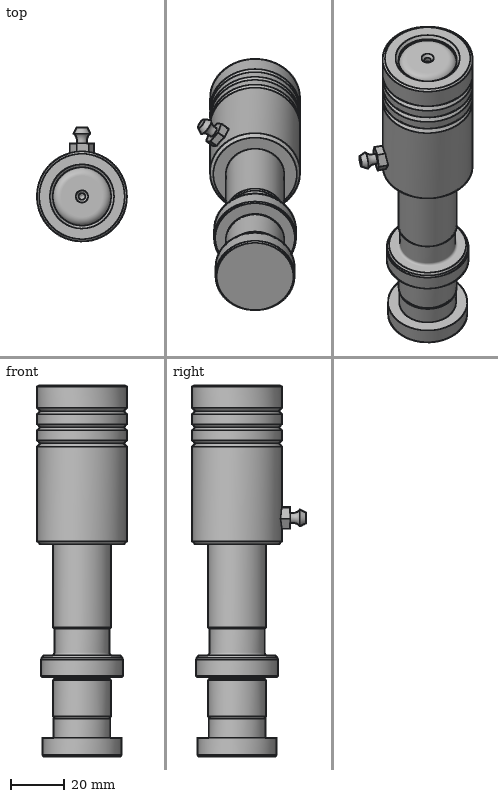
import cadquery as cq
import math

TOTAL_HEIGHT = 140.0

BUSH_RADIUS = 17.0
BUSH_LENGTH = 60.0
BUSH_BOTTOM = TOTAL_HEIGHT - BUSH_LENGTH
TOP_RIM_INSET = 0.9
TOP_RIM_HEIGHT = 0.5
BOTTOM_CHAMFER = 1.25
BORE_CHAMFER = 1.1
GROOVE_DEPTH = 1.2
GROOVE_COUNT = 3
GROOVE_PITCH = 6.1
TOP_GROOVE_Z = TOTAL_HEIGHT - 9.7

NIPPLE_PORT_RADIUS = 3.0
NIPPLE_Z = 90.0

PILLAR_RADIUS = 11.0
PILLAR_BOTTOM = 14.4
PILLAR_TOP_ROUND = 3.1
NECK_RADIUS = 10.45
NECK_CHAMFER = PILLAR_RADIUS - NECK_RADIUS
UPPER_NECK_TOP = 48.2
LOWER_NECK_BOTTOM = 29.3
PILLAR_END_CHAMFER = 0.8

COLLAR_RADIUS = 15.5
COLLAR_BOTTOM = 30.0
COLLAR_TOP = 38.2
COLLAR_FILLET = 1.0
COLLAR_FACE_RADIUS = 14.5
COLLAR_BREAK_RADIUS = 15.2
COLLAR_BREAK_STEP = 0.85
COLLAR_BOTTOM_CHAMFER = 0.5

CENTRE_MOUTH_RADIUS = 2.3
CENTRE_PILOT_RADIUS = 1.25
CENTRE_CONE_HALF_ANGLE = 45.0
CENTRE_PILOT_LENGTH = 2.0
DRILL_TIP_HALF_ANGLE = 60.0

DISC_RADIUS = 14.95
DISC_THICKNESS = 7.1
DISC_SPIGOT_RADIUS = 10.75
DISC_CHAMFER_INSET = 0.5
DISC_CHAMFER_HEIGHT = 0.7

HEX_ACROSS_FLATS = 8.0
HEX_TURN = -4.0
HEX_END = 20.0
SHANK_START = 12.0
STEM_RADIUS = 1.95
STEM_END = 21.2
HEAD_RADIUS = 3.2
HEAD_WIDEST = 23.7
TIP_RADIUS = 2.05
NIPPLE_END = 26.0


def make_nipple_port():
    """Radial cylinder from the bush axis out past the bush wall along +Y."""
    axis_point = cq.Vector(0, 0, NIPPLE_Z)
    outward = cq.Vector(0, 1, 0)
    return cq.Workplane(cq.Solid.makeCylinder(NIPPLE_PORT_RADIUS, 2 * BUSH_RADIUS, axis_point, outward))


def make_groove(z):
    """V-shaped ring cutter with 45 degree flanks around the bush."""
    return (
        cq.Workplane("XZ")
        .moveTo(BUSH_RADIUS - GROOVE_DEPTH, z)
        .lineTo(BUSH_RADIUS + GROOVE_DEPTH, z + 2 * GROOVE_DEPTH)
        .lineTo(BUSH_RADIUS + GROOVE_DEPTH, z - 2 * GROOVE_DEPTH)
        .close()
        .revolve(360, (0, 0), (0, 1))
    )


def make_bush():
    bush = (
        cq.Workplane("XZ")
        .moveTo(PILLAR_RADIUS, BUSH_BOTTOM)
        .lineTo(BUSH_RADIUS - BOTTOM_CHAMFER, BUSH_BOTTOM)
        .lineTo(BUSH_RADIUS, BUSH_BOTTOM + BOTTOM_CHAMFER)
        .lineTo(BUSH_RADIUS, TOTAL_HEIGHT - TOP_RIM_HEIGHT)
        .lineTo(BUSH_RADIUS - TOP_RIM_INSET, TOTAL_HEIGHT)
        .lineTo(PILLAR_RADIUS + BORE_CHAMFER, TOTAL_HEIGHT)
        .lineTo(PILLAR_RADIUS, TOTAL_HEIGHT - BORE_CHAMFER)
        .close()
        .revolve(360, (0, 0), (0, 1))
    )
    for index in range(GROOVE_COUNT):
        bush = bush.cut(make_groove(TOP_GROOVE_Z - index * GROOVE_PITCH))
    return bush.cut(make_nipple_port())


def make_centre_hole():
    """Conical mouth, straight pilot and drill tip on the pillar axis."""
    cone_depth = (CENTRE_MOUTH_RADIUS - CENTRE_PILOT_RADIUS) / math.tan(math.radians(CENTRE_CONE_HALF_ANGLE))
    tip_depth = CENTRE_PILOT_RADIUS / math.tan(math.radians(DRILL_TIP_HALF_ANGLE))
    pilot_top = TOTAL_HEIGHT - cone_depth
    pilot_bottom = pilot_top - CENTRE_PILOT_LENGTH
    return (
        cq.Workplane("XZ")
        .moveTo(0, TOTAL_HEIGHT)
        .lineTo(CENTRE_MOUTH_RADIUS, TOTAL_HEIGHT)
        .lineTo(CENTRE_PILOT_RADIUS, pilot_top)
        .lineTo(CENTRE_PILOT_RADIUS, pilot_bottom)
        .lineTo(0, pilot_bottom - tip_depth)
        .close()
        .revolve(360, (0, 0), (0, 1))
    )


def make_pillar():
    pillar = (
        cq.Workplane("XZ")
        .moveTo(0, PILLAR_BOTTOM)
        .lineTo(PILLAR_RADIUS - PILLAR_END_CHAMFER, PILLAR_BOTTOM)
        .lineTo(PILLAR_RADIUS, PILLAR_BOTTOM + PILLAR_END_CHAMFER)
        .lineTo(PILLAR_RADIUS, LOWER_NECK_BOTTOM - NECK_CHAMFER)
        .lineTo(NECK_RADIUS, LOWER_NECK_BOTTOM)
        .lineTo(NECK_RADIUS, COLLAR_BOTTOM)
        .lineTo(COLLAR_RADIUS - COLLAR_BOTTOM_CHAMFER, COLLAR_BOTTOM)
        .lineTo(COLLAR_RADIUS, COLLAR_BOTTOM + COLLAR_BOTTOM_CHAMFER)
        .lineTo(COLLAR_RADIUS, COLLAR_TOP - 2 * COLLAR_BREAK_STEP)
        .lineTo(COLLAR_BREAK_RADIUS, COLLAR_TOP - COLLAR_BREAK_STEP)
        .lineTo(COLLAR_FACE_RADIUS, COLLAR_TOP)
        .lineTo(NECK_RADIUS + COLLAR_FILLET, COLLAR_TOP)
        .tangentArcPoint((-COLLAR_FILLET, COLLAR_FILLET))
        .lineTo(NECK_RADIUS, UPPER_NECK_TOP)
        .lineTo(PILLAR_RADIUS, UPPER_NECK_TOP + NECK_CHAMFER)
        .lineTo(PILLAR_RADIUS, TOTAL_HEIGHT - PILLAR_TOP_ROUND)
        .tangentArcPoint((-PILLAR_TOP_ROUND, PILLAR_TOP_ROUND))
        .lineTo(0, TOTAL_HEIGHT)
        .close()
        .revolve(360, (0, 0), (0, 1))
    )
    return pillar.cut(make_centre_hole())


def make_disc():
    return (
        cq.Workplane("XZ")
        .lineTo(DISC_RADIUS - DISC_CHAMFER_INSET, 0)
        .lineTo(DISC_RADIUS, DISC_CHAMFER_HEIGHT)
        .lineTo(DISC_RADIUS, DISC_THICKNESS)
        .lineTo(DISC_SPIGOT_RADIUS, DISC_THICKNESS)
        .lineTo(DISC_SPIGOT_RADIUS, PILLAR_BOTTOM)
        .lineTo(0, PILLAR_BOTTOM)
        .close()
        .revolve(360, (0, 0), (0, 1))
    )


def make_nipple():
    """Nipple along +Y: shank in the bush port, hexagon saddled on the bush, stem and head."""
    hexagon = (
        cq.Workplane("XZ")
        .polygon(6, HEX_ACROSS_FLATS / math.cos(math.radians(30)))
        .extrude(-HEX_END)
        .rotate((0, 0, 0), (0, -1, 0), HEX_TURN)
        .cut(cq.Workplane("XY").circle(BUSH_RADIUS).extrude(BUSH_LENGTH, both=True))
    )
    turned = (
        cq.Workplane("XY")
        .moveTo(0, SHANK_START)
        .lineTo(NIPPLE_PORT_RADIUS, SHANK_START)
        .lineTo(NIPPLE_PORT_RADIUS, HEX_END)
        .lineTo(STEM_RADIUS, HEX_END)
        .lineTo(STEM_RADIUS, STEM_END)
        .tangentArcPoint((HEAD_RADIUS, HEAD_WIDEST), relative=False)
        .lineTo(TIP_RADIUS, NIPPLE_END)
        .lineTo(0, NIPPLE_END)
        .close()
        .revolve(360, (0, 0), (0, 1))
    )
    return turned.union(hexagon).translate((0, 0, NIPPLE_Z))


bush = make_bush()
pillar = make_pillar()
disc = make_disc()
nipple = make_nipple()

result = cq.Compound.makeCompound([body.solids().val() for body in (bush, pillar, disc, nipple)])